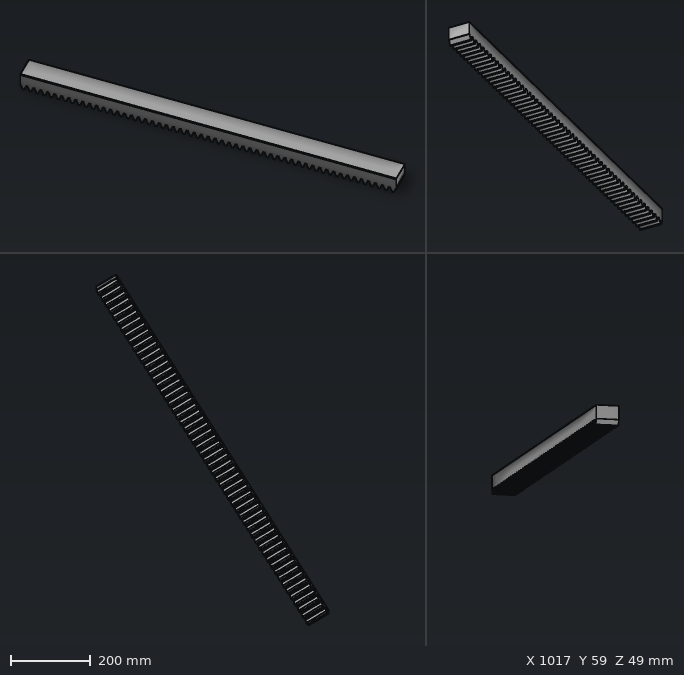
import cadquery as cq
import math

LENGTH = 1017.0
WIDTH = 59.0
HEIGHT = 49.0

TOOTH_COUNT = 54
MODULE = 6.0
PRESSURE_ANGLE = math.radians(20)
ADDENDUM_RATIO = 1.0
DEDENDUM_RATIO = 1.25

TOP_CHAMFER = 2.0

PITCH = math.pi * MODULE
FIRST_TOOTH_X = (LENGTH - (TOOTH_COUNT - 1) * PITCH) / 2
ADDENDUM = ADDENDUM_RATIO * MODULE
DEDENDUM = DEDENDUM_RATIO * MODULE

TIP_Z = 0.0
ROOT_Z = TIP_Z + ADDENDUM + DEDENDUM

HALF_TIP = PITCH / 4 - ADDENDUM * math.tan(PRESSURE_ANGLE)
HALF_ROOT = PITCH / 4 + DEDENDUM * math.tan(PRESSURE_ANGLE)


def tooth_points(center_x):
    """Corners of one tooth, from its left root to its right root."""
    return [
        (center_x - HALF_ROOT, ROOT_Z),
        (center_x - HALF_TIP, TIP_Z),
        (center_x + HALF_TIP, TIP_Z),
        (center_x + HALF_ROOT, ROOT_Z),
    ]


def rack_profile():
    """Side outline of the rack: a plain bar with teeth along its underside."""
    points = [(0, HEIGHT), (0, ROOT_Z)]
    for index in range(TOOTH_COUNT):
        points += tooth_points(FIRST_TOOTH_X + index * PITCH)
    points += [(LENGTH, ROOT_Z), (LENGTH, HEIGHT)]
    return points


rack = cq.Workplane("XZ").polyline(rack_profile()).close().extrude(-WIDTH)

result = rack.faces(">Z").edges("<Y").chamfer(TOP_CHAMFER)